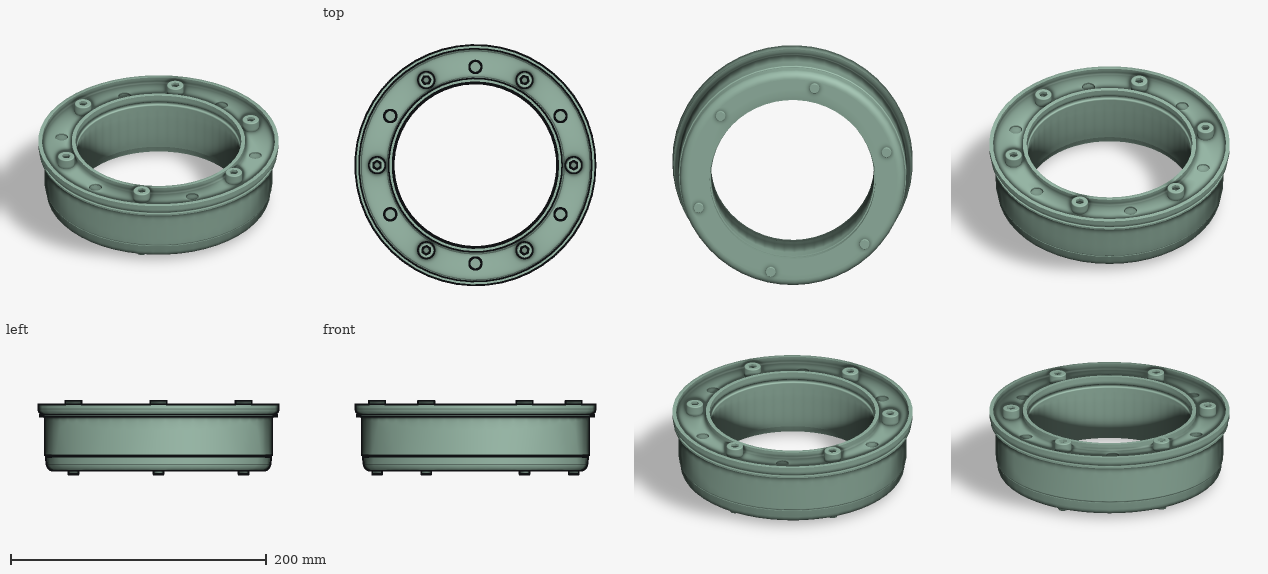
import cadquery as cq
import math

bolt_length = 58.0
dish_bottom = 3.0
dish_rim = 14.0
body_bottom = 15.0
body_top = 47.0
cover_rim = 55.0

bore_radius = 127.6 / 2
bolt_circle_radius = 76.8
bolt_count = 6
bolt_pitch = 360 / bolt_count
selection_margin = 0.1

cover_outer_radius = 188 / 2
cover_inner_radius = 129.6 / 2
sheet_thickness = 3.0
cover_inner_bend = 1.5
cover_outer_bend = cover_inner_bend + sheet_thickness
cover_floor = body_top + sheet_thickness
window_radius = 10 / 2

flange_radius = 186 / 2
flange_thickness = 1.5
body_radius = 178 / 2
body_edge_radius = 1.0
neck_radius = 84.0
neck_edge_radius = 2.0
peg_radius = 9 / 2
peg_drop = 1.0
peg_top = cover_floor - peg_drop

dish_bore_radius = cover_inner_radius
dish_radius = 87.0
dish_floor_thickness = 5.0
dish_flare = 6.5
dish_outer_bend = 6.0
dish_floor = dish_bottom + dish_floor_thickness

shank_radius = 8 / 2
head_radius = 13 / 2
head_edge_radius = 0.8
tip_radius = 7.25 / 2
tip_height = 0.75
socket_sides = 6
socket_across_flats = 6.0
socket_corner_radius = socket_across_flats / 2 / math.cos(math.pi / socket_sides)
socket_depth = 4.0
socket_floor_chamfer = 0.75
socket_turns = (30, 45, 5, 30, 25, 20)


def polar_points(first_angle):
    """Centres of one six-fold pattern on the bolt circle."""
    angles = [math.radians(first_angle + i * bolt_pitch) for i in range(bolt_count)]
    return [(bolt_circle_radius * math.cos(a), bolt_circle_radius * math.sin(a)) for a in angles]


def drill(solid, points, radius):
    """Cut through holes along Z."""
    cutter = cq.Workplane().pushPoints(points).circle(radius).extrude(bolt_length)
    return solid.cut(cutter)


def cylinder(radius, bottom, top):
    """A round bar on the Z axis between two levels."""
    return cq.Workplane().workplane(offset=bottom).circle(radius).extrude(top - bottom)


bolt_points = polar_points(0)
window_points = polar_points(bolt_pitch / 2)


def make_cover():
    blank = cylinder(cover_outer_radius, body_top, cover_rim)
    blank = blank.faces("<Z").edges().fillet(cover_outer_bend)
    bore = cylinder(cover_inner_radius, body_top, cover_rim)
    cover = blank.cut(bore)
    inner_edge = cq.selectors.RadiusNthSelector(0)
    cover = cover.faces("<Z").edges(inner_edge).fillet(cover_outer_bend)
    channel = (
        cylinder(cover_outer_radius - sheet_thickness, cover_floor, cover_rim)
        .cut(cylinder(cover_inner_radius + sheet_thickness, cover_floor, cover_rim))
        .faces("<Z").edges().fillet(cover_inner_bend)
    )
    cover = drill(cover.cut(channel), window_points, window_radius)
    return drill(cover, bolt_points, shank_radius)


def make_neck():
    """The plug below the body, which also shapes the seat in the dish."""
    neck = cylinder(neck_radius, dish_floor, body_bottom)
    return neck.faces("<Z").edges().fillet(neck_edge_radius)


def make_body():
    flange_bottom = body_top - flange_thickness
    barrel = cylinder(body_radius, body_bottom, flange_bottom)
    barrel = barrel.faces("<Z").edges().fillet(body_edge_radius)
    barrel = barrel.union(cylinder(flange_radius, flange_bottom, body_top))
    root_reach = body_radius + selection_margin
    root = cq.selectors.BoxSelector(
        (-root_reach, -root_reach, flange_bottom - selection_margin),
        (root_reach, root_reach, flange_bottom + selection_margin),
        boundingbox=True,
    )
    barrel = barrel.edges(root).fillet(body_edge_radius)
    body = barrel.union(make_neck()).cut(cylinder(bore_radius, dish_floor, body_top))
    inner_edge = cq.selectors.RadiusNthSelector(0)
    body = body.faces(">Z").edges(inner_edge).fillet(body_edge_radius)
    body = drill(body, bolt_points, shank_radius)
    pegs = cq.Workplane().workplane(offset=body_top).pushPoints(window_points)
    return body.union(pegs.circle(peg_radius).extrude(peg_top - body_top))


def make_dish():
    blank = cq.Workplane().workplane(offset=dish_bottom).circle(dish_radius)
    blank = blank.extrude(dish_rim - dish_bottom, taper=-dish_flare)
    blank = blank.faces("<Z").edges().fillet(dish_outer_bend)
    dish = blank.cut(make_neck()).cut(cylinder(dish_bore_radius, dish_bottom, dish_floor))
    return drill(dish, bolt_points, shank_radius)


def make_bolt(point, turn):
    head = cylinder(head_radius, cover_floor, bolt_length).faces(">Z").edges().fillet(head_edge_radius)
    tip = cq.Workplane().circle(tip_radius).workplane(offset=tip_height).circle(shank_radius).loft()
    shank = cylinder(shank_radius, tip_height, cover_floor).union(tip)
    socket_floor = bolt_length - socket_depth
    socket = cylinder(socket_corner_radius, socket_floor, bolt_length)
    socket = socket.faces("<Z").chamfer(socket_floor_chamfer)
    hexagon = cq.Workplane().workplane(offset=socket_floor).polygon(socket_sides, 2 * socket_corner_radius)
    hexagon = hexagon.extrude(socket_depth).rotate((0, 0, 0), (0, 0, 1), turn)
    socket = socket.intersect(hexagon)
    return head.union(shank).cut(socket).translate((*point, 0))


cover = make_cover()
body = make_body()
dish = make_dish()
bolts = [make_bolt(point, turn) for point, turn in zip(bolt_points, socket_turns)]

result = cq.Compound.makeCompound([cover.val(), body.val(), dish.val(), *[bolt.val() for bolt in bolts]])